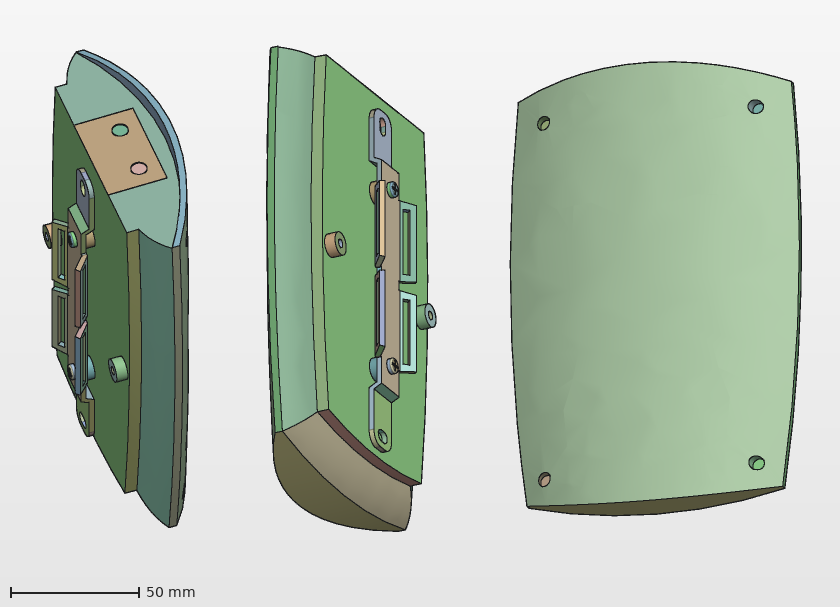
import cadquery as cq
import math

half_width = 58.8
widest_z = 14.3
side_radius = 694.9
bottom_z = -89.0
end_radius = 213.8
top_face_z = 80.9
top_face_tilt = 2.0
crest_z = 89.0
dome_y = 33.7
rim_front_y = 17.0
rim_back_y = 13.7
flange_y = 5.0
flange_inset = 14.3
bevel_bulge = 1.2
shell_thickness = 2.7
margin = 3.5

panel_half_width = 19.8
panel_depth = 24.5
panel_recess = 0.2
port_spacing = 21.7
port_y = 16.0
port_diameter = 6.5
port_depth = 0.7

dome_hole_x = 43.1
dome_hole_upper_z = 70.4
dome_hole_lower_z = -74.1
dome_hole_diameter = 5.5
dome_hole_depth = 5.3

standoff_pitch = 38.0
standoff_diameter = 9.5
standoff_height = 4.6
standoff_bore = 3.4
screw_diameter = 6.2
screw_height = 2.1
screw_round = 0.7
cross_length = 4.3
cross_width = 0.7
cross_depth = 1.0

bracket_width = 14.8
bracket_half_length = 72.5
bracket_corner = 5.3
bracket_thickness = 2.1
foot_gap = 1.2
jog_foot_z = 49.4
jog_plate_z = 47.5
jog_shift = 0.5
slot_length = 7.3
slot_width = 4.8
upper_slot_z = 66.0
lower_slot_z = -67.3

wing_root_x = 8.2
wing_inner_root_x = 8.9
wing_tip_x = 15.0
wing_tip_y = -9.8
wing_edge = 1.6
wing_root_near_z = 2.0
wing_root_far_z = 36.7
wing_taper = 1.2
wing_slot_x = 10.9
wing_slot_y = -7.8
wing_slot_width = 2.9
wing_slot_near_z = 5.3
wing_slot_far_z = 33.3


def half_width_at(z):
    """Half width of the rim at height z."""
    return half_width - side_radius + math.sqrt(side_radius**2 - (z - widest_z) ** 2)


def edge_disc(center_x, center_z, radius):
    """Disc about a Y axis whose border carries the rim, bevel and back flange."""
    flange_radius = radius - flange_inset
    bevel_x = radius - flange_inset / 2
    bevel_y = (rim_back_y + flange_y) / 2
    bevel_length = math.hypot(flange_inset, rim_back_y - flange_y)
    bulge_x = bevel_x + bevel_bulge * (rim_back_y - flange_y) / bevel_length
    bulge_y = bevel_y - bevel_bulge * flange_inset / bevel_length
    return (
        cq.Workplane("XY")
        .lineTo(flange_radius, 0)
        .lineTo(flange_radius, flange_y)
        .threePointArc((bulge_x, bulge_y), (radius, rim_back_y))
        .lineTo(radius, dome_y + margin)
        .lineTo(0, dome_y + margin)
        .close()
        .revolve(360, (0, 0), (0, 1))
        .translate((center_x, 0, center_z))
    )


def dome_envelope():
    """Space under the dome; its crest and its meeting line with the rim stay level along Z."""
    section_count = 5
    start_z = bottom_z - margin
    step = (crest_z + margin - start_z) / (section_count - 1)
    rise = dome_y - rim_front_y
    sections = cq.Workplane("XY").workplane(offset=start_z)
    for index in range(section_count):
        if index > 0:
            sections = sections.workplane(offset=step)
        rim = half_width_at(start_z + index * step)
        dome_radius = (rim**2 + rise**2) / (2 * rise)
        reach = rim + margin
        end_y = dome_y - dome_radius + math.sqrt(dome_radius**2 - reach**2)
        sections = (
            sections.moveTo(-reach, -margin)
            .lineTo(-reach, end_y)
            .threePointArc((0, dome_y), (reach, end_y))
            .lineTo(reach, -margin)
            .close()
        )
    return sections.loft()


def upper_bow():
    """Disc that gives the dome overhang its bowed upper end."""
    center_z = crest_z - end_radius
    return (
        cq.Workplane("XZ", origin=(0, -margin, center_z))
        .circle(end_radius)
        .extrude(-dome_y - 2 * margin)
    )


def top_face_plane():
    """Plane of the connector face, hinged on its back edge."""
    return cq.Workplane("XY", origin=(0, 0, top_face_z)).transformed(rotate=(top_face_tilt, 0, 0))


def overhang_hollow():
    """Empty space above the top face, inside the dome shell."""
    reach = half_width_at(top_face_z)
    return (
        top_face_plane()
        .moveTo(-reach, -margin)
        .lineTo(-reach, rim_back_y)
        .threePointArc((0, dome_y - shell_thickness), (reach, rim_back_y))
        .lineTo(reach, -margin)
        .close()
        .extrude(crest_z - top_face_z + margin)
    )


def housing():
    side_offset = half_width - side_radius
    body = dome_envelope()
    body = body.intersect(edge_disc(side_offset, widest_z, side_radius))
    body = body.intersect(edge_disc(-side_offset, widest_z, side_radius))
    body = body.intersect(edge_disc(0, bottom_z + end_radius, end_radius))
    return body.intersect(upper_bow()).cut(overhang_hollow())


def connector_panel():
    """Shallow recess in the top face with two round ports."""
    panel = (
        top_face_plane()
        .center(0, panel_depth / 2)
        .rect(2 * panel_half_width, panel_depth)
        .extrude(-panel_recess)
    )
    ports = (
        top_face_plane()
        .pushPoints([(-port_spacing / 2, port_y), (port_spacing / 2, port_y)])
        .circle(port_diameter / 2)
        .extrude(-port_depth)
    )
    return panel.union(ports)


def dome_holes():
    """Blind holes along Y, sunk from the dome near its four corners."""
    holes = cq.Workplane("XZ", origin=(0, dome_y, 0))
    places = [(side * dome_hole_x, z) for side in (-1, 1) for z in (dome_hole_upper_z, dome_hole_lower_z)]
    drop = (dome_y - rim_front_y) * (dome_hole_x / half_width_at(dome_hole_upper_z)) ** 2
    return holes.pushPoints(places).circle(dome_hole_diameter / 2).extrude(drop + dome_hole_depth)


def standoffs():
    back = cq.Workplane("XZ")
    side_places = [(-standoff_pitch, 0), (standoff_pitch, 0)]
    bracket_places = [(0, -standoff_pitch), (0, standoff_pitch)]
    posts = back.pushPoints(side_places + bracket_places).circle(standoff_diameter / 2).extrude(standoff_height)
    bores = back.pushPoints(side_places).circle(standoff_bore / 2).extrude(standoff_height)
    return posts.cut(bores)


def slot(z, angle):
    """Fixing slot through a bracket foot."""
    return (
        cq.Workplane("XZ", origin=(0, 0, z))
        .slot2D(slot_length, slot_width, angle)
        .extrude(standoff_height)
    )


def bracket():
    """Strip raised on the standoffs, jogged toward the housing at both feet."""
    foot_near = -foot_gap
    foot_far = foot_near - bracket_thickness
    plate_near = -standoff_height
    plate_far = plate_near - bracket_thickness
    end = bracket_half_length
    upper_near = [(foot_near, end), (foot_near, jog_foot_z - jog_shift), (plate_near, jog_plate_z - jog_shift)]
    upper_far = [(plate_far, jog_plate_z + jog_shift), (foot_far, jog_foot_z + jog_shift), (foot_far, end)]
    lower_near = [(y, -z) for y, z in reversed(upper_near)]
    lower_far = [(y, -z) for y, z in reversed(upper_far)]
    strip = (
        cq.Workplane("YZ")
        .polyline(upper_near + lower_near + lower_far + upper_far)
        .close()
        .extrude(bracket_width / 2, both=True)
    )
    outline = (
        cq.Workplane("XZ")
        .rect(bracket_width, 2 * bracket_half_length)
        .extrude(-plate_far)
        .edges("|Y")
        .fillet(bracket_corner)
    )
    return strip.intersect(outline).cut(slot(upper_slot_z, 90)).cut(slot(lower_slot_z, 0))


def wing():
    """Slotted wing on the +X, +Z quarter of the bracket."""
    overlap_x = bracket_width / 2 - bracket_thickness / 2
    near_y = -standoff_height
    depth = wing_edge - wing_tip_y
    bent = (
        cq.Workplane("XY", origin=(0, 0, wing_root_near_z))
        .moveTo(overlap_x, near_y)
        .lineTo(wing_inner_root_x, near_y)
        .lineTo(wing_tip_x, wing_tip_y)
        .lineTo(wing_tip_x - wing_edge, wing_tip_y - wing_edge)
        .lineTo(wing_root_x, near_y - bracket_thickness)
        .lineTo(overlap_x, near_y - bracket_thickness)
        .close()
        .extrude(wing_root_far_z - wing_root_near_z)
    )
    outline = (
        cq.Workplane("XZ")
        .moveTo(overlap_x, wing_root_near_z)
        .lineTo(wing_root_x, wing_root_near_z)
        .lineTo(wing_tip_x, wing_root_near_z + wing_taper)
        .lineTo(wing_tip_x, wing_root_far_z - wing_taper)
        .lineTo(wing_root_x, wing_root_far_z)
        .lineTo(overlap_x, wing_root_far_z)
        .close()
        .extrude(depth)
    )
    slope = math.degrees(math.atan2(wing_tip_y - near_y, wing_tip_x - wing_inner_root_x))
    window = (
        cq.Workplane("XY")
        .box(wing_slot_width, 2 * bracket_thickness, wing_slot_far_z - wing_slot_near_z)
        .rotate((0, 0, 0), (0, 0, 1), slope)
        .translate((wing_slot_x, wing_slot_y, (wing_slot_near_z + wing_slot_far_z) / 2))
    )
    return bent.intersect(outline).cut(window)


def screw_head(z):
    """Rounded screw head with a cross recess."""
    seat_y = -standoff_height - bracket_thickness
    head = cq.Workplane("XZ", origin=(0, seat_y, z)).circle(screw_diameter / 2).extrude(screw_height)
    head = head.faces("<Y").edges().fillet(screw_round)
    recess = cq.Workplane("XZ", origin=(0, seat_y - screw_height, z))
    for width, height in ((cross_length, cross_width), (cross_width, cross_length)):
        head = head.cut(recess.rect(width, height).extrude(-cross_depth))
    return head


result = housing().cut(connector_panel()).cut(dome_holes())
result = result.union(standoffs()).union(bracket())

upper_wings = wing().union(wing().mirror("YZ"))
result = result.union(upper_wings).union(upper_wings.mirror("XY"))

for screw_z in (-standoff_pitch, standoff_pitch):
    result = result.union(screw_head(screw_z))